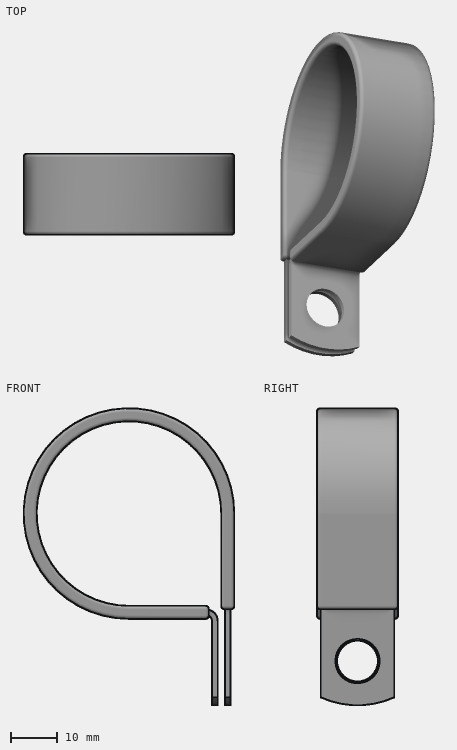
import cadquery as cq
import math


LOOP_OUTER_RADIUS = 22.645
STRAP_THICKNESS = 1.27
STRAP_WIDTH = 15.875
CUSHION_COVER = 0.79375
CUSHION_ROUNDING = 0.77
BEND_INNER_RADIUS = 1.19
TAB_GAP = 1.51
TAB_BOTTOM = -41.205
TAB_END_RADIUS = 19.05
CUSHION_END_Z = -20.58
CUSHION_END_X = 17.18
BENT_TAB_HOLE_DIAMETER = 8.73
STRAIGHT_TAB_HOLE_DIAMETER = 9.525
HOLE_EDGE_DISTANCE = 9.525

CUSHION_THICKNESS = STRAP_THICKNESS + 2 * CUSHION_COVER
CUSHION_WIDTH = STRAP_WIDTH + 2 * CUSHION_COVER
LOOP_INNER_RADIUS = LOOP_OUTER_RADIUS - CUSHION_THICKNESS
STRAP_OUTER_RADIUS = LOOP_OUTER_RADIUS - CUSHION_COVER
STRAP_INNER_RADIUS = STRAP_OUTER_RADIUS - STRAP_THICKNESS
BENT_TAB_OUTER_X = STRAP_INNER_RADIUS - TAB_GAP
BENT_TAB_INNER_X = BENT_TAB_OUTER_X - STRAP_THICKNESS
BEND_OUTER_RADIUS = BEND_INNER_RADIUS + STRAP_THICKNESS
BEND_START_X = BENT_TAB_OUTER_X - BEND_OUTER_RADIUS
HOLE_Z = TAB_BOTTOM + HOLE_EDGE_DISTANCE


def upper_left_point(radius):
    """Middle of the three-quarter loop, up and to the left of its axis."""
    return (-radius * math.sqrt(0.5), radius * math.sqrt(0.5))


def extrude_across(profile, width):
    """Extrude an XZ profile symmetrically about the Y = 0 plane."""
    return profile.extrude(width / 2, both=True)


def make_cushion():
    """Three-quarter loop with a vertical and a horizontal leg, all edges rounded."""
    outer = LOOP_OUTER_RADIUS
    inner = LOOP_INNER_RADIUS
    profile = (
        cq.Workplane("XZ")
        .moveTo(outer, CUSHION_END_Z)
        .lineTo(outer, 0)
        .threePointArc(upper_left_point(outer), (0, -outer))
        .lineTo(CUSHION_END_X, -outer)
        .lineTo(CUSHION_END_X, -inner)
        .lineTo(0, -inner)
        .threePointArc(upper_left_point(inner), (inner, 0))
        .lineTo(inner, CUSHION_END_Z)
        .close()
    )
    body = extrude_across(profile, CUSHION_WIDTH)
    return body.edges().fillet(CUSHION_ROUNDING)


def make_strap():
    """Steel strip running through the cushion and ending in two parallel tabs."""
    outer = STRAP_OUTER_RADIUS
    inner = STRAP_INNER_RADIUS
    bend_centre_z = -inner - BEND_OUTER_RADIUS
    diagonal = math.sqrt(0.5)
    profile = (
        cq.Workplane("XZ")
        .moveTo(outer, TAB_BOTTOM)
        .lineTo(outer, 0)
        .threePointArc(upper_left_point(outer), (0, -outer))
        .lineTo(BEND_START_X, -outer)
        .threePointArc(
            (BEND_START_X + BEND_INNER_RADIUS * diagonal, bend_centre_z + BEND_INNER_RADIUS * diagonal),
            (BENT_TAB_INNER_X, bend_centre_z),
        )
        .lineTo(BENT_TAB_INNER_X, TAB_BOTTOM)
        .lineTo(BENT_TAB_OUTER_X, TAB_BOTTOM)
        .lineTo(BENT_TAB_OUTER_X, bend_centre_z)
        .threePointArc(
            (BEND_START_X + BEND_OUTER_RADIUS * diagonal, bend_centre_z + BEND_OUTER_RADIUS * diagonal),
            (BEND_START_X, -inner),
        )
        .lineTo(0, -inner)
        .threePointArc(upper_left_point(inner), (inner, 0))
        .lineTo(inner, TAB_BOTTOM)
        .close()
    )
    return extrude_across(profile, STRAP_WIDTH)


def make_hole_cutter(diameter, start_x):
    """Bolt-hole cylinder along +X from start_x out past the strap."""
    return (
        cq.Workplane("YZ", origin=(start_x, 0, HOLE_Z))
        .circle(diameter / 2)
        .extrude(LOOP_OUTER_RADIUS - start_x)
    )


def make_tab_envelope():
    """Strap outline seen along X: arched lower ends, pierced by the bolt holes."""
    half_width = STRAP_WIDTH / 2
    arch_height = TAB_END_RADIUS - math.sqrt(TAB_END_RADIUS**2 - half_width**2)
    corner_z = TAB_BOTTOM + arch_height
    outline = (
        cq.Workplane("YZ")
        .moveTo(-half_width, LOOP_OUTER_RADIUS)
        .lineTo(-half_width, corner_z)
        .threePointArc((0, TAB_BOTTOM), (half_width, corner_z))
        .lineTo(half_width, LOOP_OUTER_RADIUS)
        .close()
        .extrude(LOOP_OUTER_RADIUS, both=True)
    )
    return (
        outline
        .cut(make_hole_cutter(BENT_TAB_HOLE_DIAMETER, 0))
        .cut(make_hole_cutter(STRAIGHT_TAB_HOLE_DIAMETER, BENT_TAB_OUTER_X))
    )


strap = make_strap().intersect(make_tab_envelope())
result = make_cushion().union(strap)